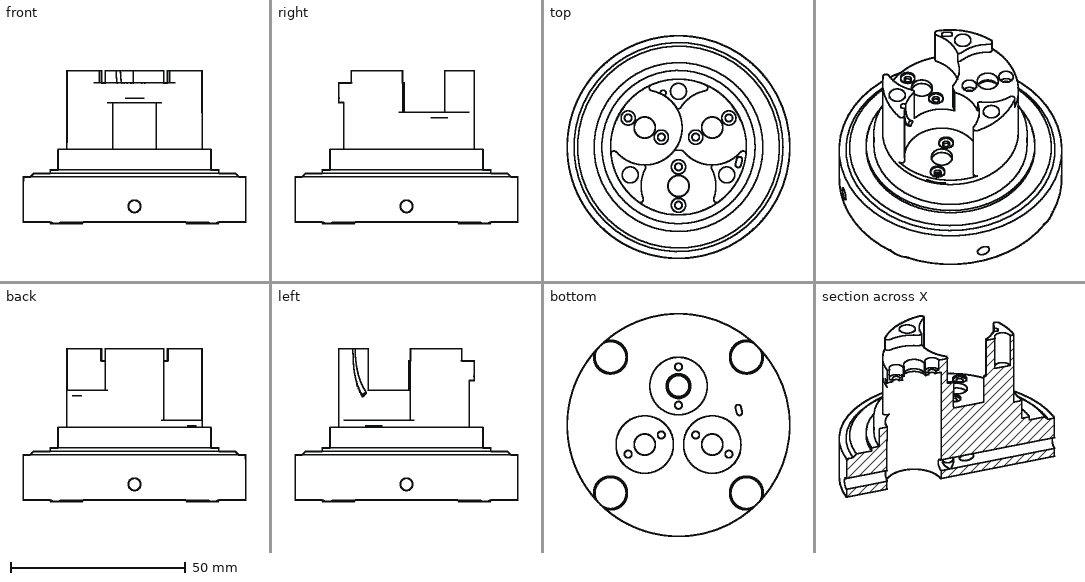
import cadquery as cq
import math

base_radius = 32.0
shoulder_radius = 30.0
flange_radius = 24.25
collar_radius = 22.0
tower_radius = 19.5

base_bottom = 0.4
base_top = 13.4
shoulder_height = 1.0
flange_height = 1.0
collar_top = 21.4
collar_edge_radius = 0.4
tower_top = 43.9

shoulder_top = base_top + shoulder_height
flange_top = shoulder_top + flange_height

front, right, left = -90, 30, 150
deck_height = {front: 40.4, right: 32.0, left: 23.35}
station_distance = 11.2
screw_offset = 5.5
screw_hole_radius = 1.0
counterbore_radius = 2.05
counterbore_web = 1.0
centre_hole_radius = 3.0
centre_hole_depth = 3.15
boss_recess_radius = 3.5

bay_radius = 10.75
bay_tip_radius = 0.9
inner_tip_radius = 1.0
post_tip_distance = 10.95
hub_tip_distance = -0.9
well_top = {front: 36.0, right: 30.4, left: 21.75}
well_radius = 8.25
mouth_drop = 1.35
mouth_tip_radius = 1.0
outside_factor = 1.05

post_hole_distance = 16.0
post_hole_radius = 2.3
post_hole_depth = 10.0

slot_distance = 17.85
slot_angle = -14
slot_length = 3.1
slot_width = 1.55
channel_start = (-4.4, 15.5)
channel_end = (-0.95, 12.1)
channel_drop = 13.25
channel_radius = 0.8

cross_hole_radius = 1.7
cross_hole_height = 4.9
foot_offset = 19.5
foot_top_radius = 4.85


def prism(outline, angle, bottom, top):
    """Extrude a flat outline between two heights, then turn it about Z."""
    solid = outline.extrude(top - bottom).translate((0, 0, bottom))
    return solid.rotate((0, 0, 0), (0, 0, 1), angle)


def cylinder(x, y, radius, bottom, top):
    return cq.Workplane("XY", origin=(x, y, bottom)).circle(radius).extrude(top - bottom)


def polar(distance, angle):
    turn = math.radians(angle)
    return distance * math.cos(turn), distance * math.sin(turn)


def open_bay(radius, tip_radius):
    """Round bay on the +X axis, open through the tower wall, with rounded horn tips."""
    tip_distance = tower_radius - tip_radius
    reach = radius + tip_radius
    tip_x = (tip_distance**2 + station_distance**2 - reach**2) / (2 * station_distance)
    tip_y = math.sqrt(tip_distance**2 - tip_x**2)
    inner_x = station_distance + (tip_x - station_distance) * radius / reach
    inner_y = tip_y * radius / reach
    outer_x = tip_x * tower_radius / tip_distance
    outer_y = tip_y * tower_radius / tip_distance
    bisector_x = (inner_x - tip_x) + (outer_x - tip_x)
    bisector_y = (inner_y - tip_y) + (outer_y - tip_y)
    scale = tip_radius / math.hypot(bisector_x, bisector_y)
    middle_x = tip_x + bisector_x * scale
    middle_y = tip_y + bisector_y * scale
    past_x = outer_x * outside_factor
    past_y = outer_y * outside_factor
    return (
        cq.Workplane("XY")
        .moveTo(outer_x, outer_y)
        .threePointArc((middle_x, middle_y), (inner_x, inner_y))
        .threePointArc((station_distance - radius, 0), (inner_x, -inner_y))
        .threePointArc((middle_x, -middle_y), (outer_x, -outer_y))
        .lineTo(past_x, -past_y)
        .threePointArc((tower_radius * outside_factor, 0), (past_x, past_y))
        .close()
    )


def tip_relief(tip_distance, side, shallow_side):
    """Sliver that blunts the cusp between two bays lying 60 degrees either side of +X.

    The blunt end crosses the axis at tip_distance. It is rounded into the shallower bay and
    left sharp at the deeper one. side is +1 for a post tip and -1 for the tip near the axis.
    shallow_side is +1 when the shallower bay is on the +Y side, else -1.
    """
    bay_x, bay_y = polar(station_distance, 60)
    reach = bay_radius + inner_tip_radius
    round_x = tip_distance + side * inner_tip_radius
    round_y = bay_y - math.sqrt(reach**2 - (round_x - bay_x) ** 2)
    touch_angle = math.atan2(bay_y - round_y, bay_x - round_x)
    blunt_angle = math.pi if side > 0 else 0
    middle_angle = (touch_angle + blunt_angle) / 2

    def on_round(angle):
        x = round_x + inner_tip_radius * math.cos(angle)
        y = round_y + inner_tip_radius * math.sin(angle)
        return x, shallow_side * y

    return (
        cq.Workplane("XY")
        .moveTo(*on_round(touch_angle))
        .threePointArc(on_round(middle_angle), on_round(blunt_angle))
        .lineTo(tip_distance, -shallow_side * inner_tip_radius)
        .lineTo(bay_x, 0)
        .close()
    )


def turned_body():
    profile = (
        cq.Workplane("XZ")
        .moveTo(0, base_bottom)
        .lineTo(base_radius, base_bottom)
        .lineTo(base_radius, base_top)
        .lineTo(shoulder_radius, base_top)
        .lineTo(shoulder_radius - shoulder_height, shoulder_top)
        .lineTo(flange_radius, shoulder_top)
        .lineTo(flange_radius, flange_top)
        .lineTo(collar_radius, flange_top)
        .lineTo(collar_radius, collar_top - collar_edge_radius)
        .radiusArc((collar_radius - collar_edge_radius, collar_top), -collar_edge_radius)
        .lineTo(tower_radius, collar_top)
        .lineTo(tower_radius, tower_top)
        .lineTo(0, tower_top)
        .close()
    )
    return profile.revolve(360, (0, 0, 0), (0, 1, 0))


def feet():
    """Four low conical feet on the diagonals, trimmed to the outside of the base."""
    corners = [(x, y) for x in (-foot_offset, foot_offset) for y in (-foot_offset, foot_offset)]
    cones = (
        cq.Workplane("XY", origin=(0, 0, base_bottom))
        .pushPoints(corners)
        .circle(foot_top_radius)
        .extrude(-base_bottom, taper=45)
    )
    return cones.intersect(cylinder(0, 0, base_radius, 0, base_bottom))


def cut_station(body, angle):
    """Bay, well, centre hole and screw holes of one station."""
    deck = deck_height[angle]
    ceiling = well_top[angle]
    body = body.cut(prism(open_bay(bay_radius, bay_tip_radius), angle, deck, tower_top))
    x, y = polar(station_distance, angle)
    body = body.cut(cylinder(x, y, well_radius, 0, ceiling))
    body = body.cut(cylinder(x, y, centre_hole_radius, ceiling, deck))
    recess_top = deck - centre_hole_depth
    if recess_top > ceiling:
        body = body.cut(cylinder(x, y, boss_recess_radius, ceiling, recess_top))
    for offset in (-screw_offset, screw_offset):
        x, y = polar(station_distance + offset, angle)
        body = body.cut(cylinder(x, y, screw_hole_radius, ceiling, deck))
        body = body.cut(cylinder(x, y, counterbore_radius, ceiling + counterbore_web, deck))
    return body


def cut_post(body, angle, shallow_station, shallow_side):
    """Blunt inner tip and blind top hole of the post between two stations."""
    relief = tip_relief(post_tip_distance, 1, shallow_side)
    body = body.cut(prism(relief, angle, deck_height[shallow_station], tower_top))
    x, y = polar(post_hole_distance, angle)
    return body.cut(cylinder(x, y, post_hole_radius, tower_top - post_hole_depth, tower_top))


def cable_slot():
    """Upright slot through the full height, lying along the tower wall."""
    outline = cq.Workplane("XY").center(slot_distance, 0).slot2D(slot_length, slot_width, 90)
    return prism(outline, slot_angle, 0, tower_top)


def cable_channel():
    """Round channel that starts upright at the top of a post and curves down along its wall."""
    run_x = channel_end[0] - channel_start[0]
    run_y = channel_end[1] - channel_start[1]
    run = math.hypot(run_x, run_y)
    bend_radius = (run**2 + channel_drop**2) / (2 * run)
    bend_angle = math.degrees(math.asin(channel_drop / bend_radius))
    return (
        cq.Workplane("XY")
        .circle(channel_radius)
        .revolve(bend_angle, (bend_radius, 0, 0), (bend_radius, -1, 0))
        .rotate((0, 0, 0), (0, 0, 1), math.degrees(math.atan2(run_y, run_x)))
        .translate((channel_start[0], channel_start[1], tower_top))
    )


body = turned_body().union(feet())
for station in deck_height:
    body = cut_station(body, station)

mouth = open_bay(well_radius, mouth_tip_radius)
body = body.cut(prism(mouth, front, collar_top, well_top[front] - mouth_drop))

body = cut_post(body, front + 180, right, -1)
body = cut_post(body, left + 180, front, -1)
body = cut_post(body, right + 180, front, 1)

hub_relief = tip_relief(hub_tip_distance, -1, -1)
body = body.cut(prism(hub_relief, front + 180, deck_height[right], tower_top))

body = body.cut(cable_slot())
body = body.cut(cable_channel())

for plane in ("XZ", "YZ"):
    drill = cq.Workplane(plane).center(0, cross_hole_height).circle(cross_hole_radius)
    body = body.cut(drill.extrude(base_radius, both=True))

result = body